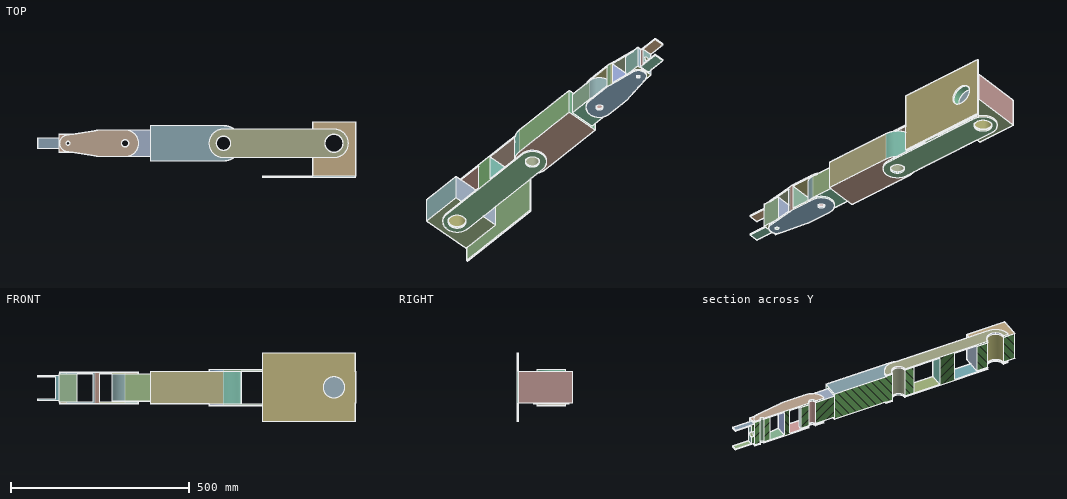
import cadquery as cq
import math


total_length = 890.0

wall_length = 260.0
wall_height = 192.0
wall_thickness = 4.5
wall_inset = 2.0
block_length = 121.0
block_width = 151.0
block_height = 89.0
block_front_y = -92.0
wall_hole_diameter = 60.0
wall_hole_depth = 26.0
wall_hole_setback = 61.0

link_width = 80.0
link_thickness = 5.0
shoulder_x = 829.0
shoulder_hole_diameter = 50.0
elbow_x = 520.0
elbow_hole_diameter = 39.0
link_web_length = 48.0

forearm_z = -1.0
forearm_width = 100.0
forearm_height = 91.0
forearm_front_x = 315.0
wrist_width = 75.0
wrist_height = 76.5
wrist_x = 245.0
wrist_hole_diameter = 20.0

bracket_thickness = 5.0
bracket_gap = 78.0
bracket_nose_radius = 23.0
bracket_flank_end_x = 160.0
bracket_straight_x = 173.0
bracket_web_start_x = 155.0
bracket_web_length = 19.0

gripper_start_x = 60.0
gripper_size = 51.0
gripper_hole_diameter = 11.0
finger_width = 30.0
finger_thickness = 4.5
fork_height = 70.0
palm_thickness = 10.0
palm_hole_diameter = 15.0

block_start_x = total_length - block_length
wall_front_y = block_front_y - wall_thickness
wrist_top = forearm_z + wrist_height / 2
bracket_bottom = wrist_top - bracket_gap - bracket_thickness
bracket_height = bracket_gap + 2 * bracket_thickness
gripper_x = gripper_start_x + gripper_size / 2
gripper_z = wrist_top - bracket_gap / 2
palm_start_x = gripper_start_x - palm_thickness


def bar(start_x, end_x, width, height, middle_z):
    """Box along X that is centred on Y = 0 and on the given height."""
    length = end_x - start_x
    return cq.Workplane("XY", origin=(start_x + length / 2, 0, middle_z)).box(length, width, height)


def post(x, diameter, height, middle_z):
    """Vertical cylinder on Y = 0, centred on the given height."""
    return cq.Workplane("XY", origin=(x, 0, middle_z)).circle(diameter / 2).extrude(height / 2, both=True)


def make_wall_hole():
    """Flat-bottomed bore along +Y that starts at the plate's outer face."""
    plane = cq.Workplane("XZ", origin=(total_length - wall_hole_setback, wall_front_y, 0))
    return plane.circle(wall_hole_diameter / 2).extrude(-wall_hole_depth)


def make_wall_plate():
    middle_x = total_length - wall_inset - wall_length / 2
    middle_y = block_front_y - wall_thickness / 2
    plate = cq.Workplane("XY", origin=(middle_x, middle_y, 0)).box(wall_length, wall_thickness, wall_height)
    return plate.cut(make_wall_hole())


def make_shoulder_block():
    block = bar(block_start_x, total_length, block_width, block_height, 0)
    block = block.translate((0, block_front_y + block_width / 2, 0))
    block = block.cut(post(shoulder_x, shoulder_hole_diameter, block_height, 0))
    return block.cut(make_wall_hole())


def make_upper_arm():
    middle_x = (elbow_x + shoulder_x) / 2
    arm_height = forearm_height + 2 * link_thickness
    arm = (
        cq.Workplane("XY", origin=(middle_x, 0, forearm_z))
        .slot2D(shoulder_x - elbow_x + link_width, link_width)
        .extrude(arm_height / 2, both=True)
    )
    web_start_x = middle_x - link_web_length / 2
    web_end_x = middle_x + link_web_length / 2
    arm = arm.cut(bar(elbow_x - link_width, web_start_x, link_width, forearm_height, forearm_z))
    arm = arm.cut(bar(web_end_x, shoulder_x + link_width, link_width, forearm_height, forearm_z))
    arm = arm.cut(post(elbow_x, elbow_hole_diameter, arm_height, forearm_z))
    return arm.cut(post(shoulder_x, shoulder_hole_diameter, arm_height, forearm_z))


def make_round_ended_arm(pivot_x, width, height, hole_diameter):
    """Bar from the forearm's front face to a full-round end with a pivot hole."""
    start_x = min(pivot_x, forearm_front_x)
    end_x = max(pivot_x, forearm_front_x)
    arm = bar(start_x, end_x, width, height, forearm_z)
    arm = arm.union(post(pivot_x, width, height, forearm_z))
    return arm.cut(post(pivot_x, hole_diameter, height, forearm_z))


def make_bracket():
    half_width = wrist_width / 2

    def shoulder_y(x):
        """Half width along the arc that blends into the straight sides."""
        return math.sqrt(half_width**2 - (bracket_straight_x - x) ** 2)

    flank_y = shoulder_y(bracket_flank_end_x)
    arc_middle_x = (bracket_flank_end_x + bracket_straight_x) / 2
    arc_middle_y = shoulder_y(arc_middle_x)

    flank_run = bracket_flank_end_x - gripper_x
    flank_reach = math.hypot(flank_run, flank_y)
    flank_angle = math.atan2(flank_y, flank_run) - math.asin(bracket_nose_radius / flank_reach)
    nose_x = gripper_x - bracket_nose_radius * math.sin(flank_angle)
    nose_y = bracket_nose_radius * math.cos(flank_angle)

    bracket = (
        cq.Workplane("XY", origin=(0, 0, bracket_bottom))
        .moveTo(nose_x, nose_y)
        .lineTo(bracket_flank_end_x, flank_y)
        .threePointArc((arc_middle_x, arc_middle_y), (bracket_straight_x, half_width))
        .lineTo(wrist_x, half_width)
        .threePointArc((wrist_x + half_width, 0), (wrist_x, -half_width))
        .lineTo(bracket_straight_x, -half_width)
        .threePointArc((arc_middle_x, -arc_middle_y), (bracket_flank_end_x, -flank_y))
        .lineTo(nose_x, -nose_y)
        .threePointArc((gripper_x - bracket_nose_radius, 0), (nose_x, nose_y))
        .close()
        .extrude(bracket_height)
    )
    web_end_x = bracket_web_start_x + bracket_web_length
    bracket = bracket.cut(bar(0, bracket_web_start_x, wrist_width, bracket_gap, gripper_z))
    bracket = bracket.cut(bar(web_end_x, forearm_front_x, wrist_width, bracket_gap, gripper_z))
    bracket = bracket.cut(post(gripper_x, gripper_hole_diameter, bracket_height, gripper_z))
    return bracket.cut(post(wrist_x, wrist_hole_diameter, bracket_height, gripper_z))


def make_gripper_block():
    block = bar(gripper_start_x, gripper_start_x + gripper_size, gripper_size, bracket_gap, gripper_z)
    return block.cut(post(gripper_x, gripper_hole_diameter, bracket_gap, gripper_z))


def make_finger_fork():
    """Two flat fingers on a palm plate with a central hole."""
    fork = bar(0, gripper_start_x, finger_width, fork_height, gripper_z)
    fork = fork.cut(bar(0, palm_start_x, finger_width, fork_height - 2 * finger_thickness, gripper_z))
    palm_plane = cq.Workplane("YZ", origin=(palm_start_x, 0, gripper_z))
    return fork.cut(palm_plane.circle(palm_hole_diameter / 2).extrude(palm_thickness))


wall_plate = make_wall_plate()
shoulder_block = make_shoulder_block()
upper_arm = make_upper_arm()
forearm = make_round_ended_arm(elbow_x, forearm_width, forearm_height, elbow_hole_diameter)
wrist_arm = make_round_ended_arm(wrist_x, wrist_width, wrist_height, wrist_hole_diameter)
bracket = make_bracket()
gripper_block = make_gripper_block()
finger_fork = make_finger_fork()

result = cq.Compound.makeCompound([
    wall_plate.val(),
    shoulder_block.val(),
    upper_arm.val(),
    forearm.val(),
    wrist_arm.val(),
    bracket.val(),
    gripper_block.val(),
    finger_fork.val(),
])